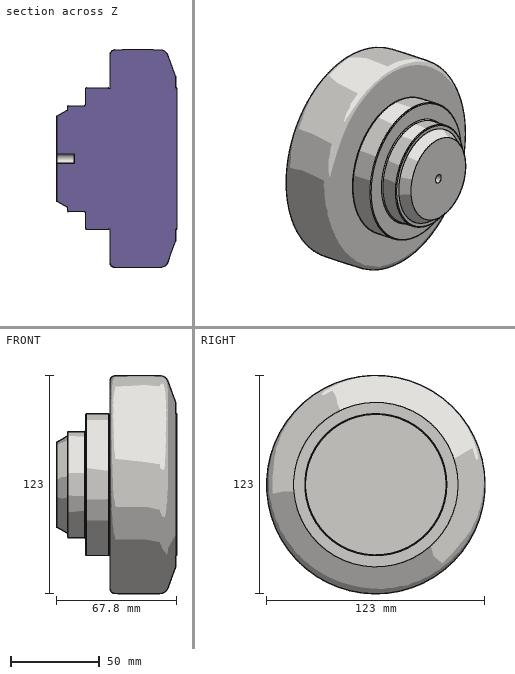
import cadquery as cq
import math

COLLAR_X = 6.0
FLANGE_X = 16.2
WHEEL_X = 29.9
WHEEL_END_X = 67.0
TOTAL_LENGTH = 67.8

COLLAR_RADIUS = 29.9
FLANGE_RADIUS = 80 / 2
WHEEL_RADIUS = 123 / 2
TIP_RADIUS = 24.0
WHEEL_END_RADIUS = 46.2

TIP_TAPER = math.radians(30)
EDGE_CHAMFER = 0.5
ROOT_FLARE = 0.6
GROOVE_WIDTH = 0.7
GROOVE_DEPTH = 0.4
FRONT_FILLET = 3.1
REAR_FILLET = 4.9
TREAD_CROWN = 0.2
RIM_MARGIN = 0.1
REAR_FACE_LEAN = math.radians(20)

CENTER_HOLE_DIAMETER = 4.9
CENTER_HOLE_DEPTH = 9.8

tip_base_radius = TIP_RADIUS + COLLAR_X * math.tan(TIP_TAPER)


def stub_and_flange():
    """Conical tip, collar, flange and relief groove, ending as the hub's rear face."""
    outline = [
        (0, 0),
        (0, TIP_RADIUS),
        (COLLAR_X, tip_base_radius),
        (COLLAR_X, COLLAR_RADIUS - EDGE_CHAMFER),
        (COLLAR_X + EDGE_CHAMFER, COLLAR_RADIUS),
        (FLANGE_X - ROOT_FLARE, COLLAR_RADIUS),
        (FLANGE_X, COLLAR_RADIUS + ROOT_FLARE),
        (FLANGE_X, FLANGE_RADIUS - EDGE_CHAMFER),
        (FLANGE_X + EDGE_CHAMFER, FLANGE_RADIUS),
        (WHEEL_X - GROOVE_WIDTH, FLANGE_RADIUS),
        (WHEEL_X - GROOVE_WIDTH + GROOVE_DEPTH, FLANGE_RADIUS - GROOVE_DEPTH),
        (WHEEL_X, FLANGE_RADIUS - GROOVE_DEPTH),
        (WHEEL_END_X, FLANGE_RADIUS),
        (TOTAL_LENGTH - EDGE_CHAMFER, FLANGE_RADIUS),
        (TOTAL_LENGTH, FLANGE_RADIUS - EDGE_CHAMFER),
        (TOTAL_LENGTH, 0),
    ]
    return revolve_about_x(cq.Workplane("XY").polyline(outline).close())


def wheel():
    """Wheel with a crowned tread, a rounded front edge and a rounded, conical rear edge."""
    tread_edge_radius = WHEEL_RADIUS - TREAD_CROWN
    rear_edge_x = WHEEL_END_X - (tread_edge_radius - WHEEL_END_RADIUS) * math.tan(REAR_FACE_LEAN)
    tread_middle_x = (WHEEL_X + rear_edge_x) / 2
    outline = (
        cq.Workplane("XY")
        .moveTo(WHEEL_X, 0)
        .lineTo(WHEEL_X, tread_edge_radius)
        .threePointArc((tread_middle_x, WHEEL_RADIUS), (rear_edge_x, tread_edge_radius))
        .lineTo(WHEEL_END_X, WHEEL_END_RADIUS)
        .lineTo(WHEEL_END_X, 0)
        .close()
    )
    body = revolve_about_x(outline)
    body = round_rim(body, WHEEL_X, tread_edge_radius, FRONT_FILLET)
    return round_rim(body, rear_edge_x, tread_edge_radius, REAR_FILLET)


def round_rim(body, x, radius, fillet):
    """Fillet the circular edge of the given radius around the X axis at station x."""
    reach = radius + RIM_MARGIN
    rim = cq.selectors.BoxSelector(
        (x - RIM_MARGIN, -reach, -reach), (x + RIM_MARGIN, reach, reach), boundingbox=True
    )
    return body.edges("%CIRCLE").edges(rim).fillet(fillet)


def revolve_about_x(outline):
    return outline.revolve(360, (0, 0, 0), (1, 0, 0))


def center_hole():
    return cq.Workplane("YZ").circle(CENTER_HOLE_DIAMETER / 2).extrude(CENTER_HOLE_DEPTH)


result = stub_and_flange().union(wheel()).cut(center_hole())